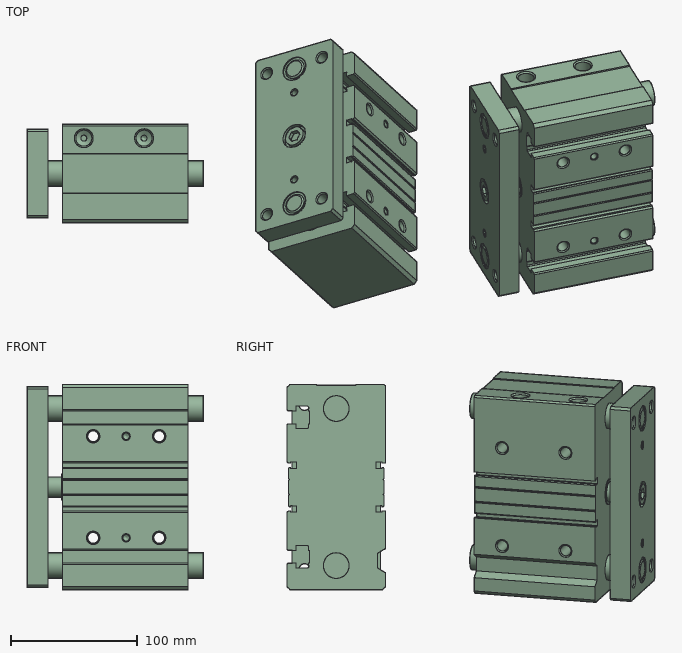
import cadquery as cq
import math


total_length = 139.0
drill_angle = 118.0

housing_start = 27.9
housing_length = 99.1
housing_end = housing_start + housing_length
housing_width = 78.0
housing_height = 162.0
half_width = housing_width / 2
half_height = housing_height / 2
edge_chamfer = 2.6
port_edge_chamfer = 1.5
collar_length = 0.6

plate_thickness = 16.5
plate_width = 70.0
plate_height = 158.1
plate_chamfer = 2.0
plate_hole_y = 25.0
plate_hole_z = 64.8

guide_rod_diameter = 20.2
guide_rod_z = 61.9
guide_tip_base_diameter = 16.5
guide_tip_diameter = 13.8
guide_tip_length = 1.0
piston_rod_diameter = 16.2
piston_rod_end = 81.0
piston_recess_diameter = guide_rod_diameter
piston_recess_depth = 3.2
hex_across_flats = 8.5
hex_depth = 3.5

bolt_hole_diameter = 8.6
bolt_hole_chamfer = 1.0
dowel_diameter = 5.2
dowel_chamfer = 0.6
dowel_depth = 8.1
dowel_z = 40.0
dowel_x = 78.1
bolt_hole_spacing = 52.0

port_diameter = 12.6
port_chamfer = 1.1
port_depth = 13.0
port_y = 27.9
port_x = [44.7, 92.2]
passage_diameter = 4.7
passage_depth = 4.9

top_recess_width = 31.8
top_recess_depth = 0.6

tslot_z = 54.9
tslot_mouth = 10.2
tslot_flare = 1.0
tslot_lip = 7.3
tslot_depth = 17.2
tslot_width = 17.7
tslot_corner = 0.8
tslot_floor_groove = 0.8

sensor_z = 17.2
sensor_mouth = 3.2
sensor_channel_width = 4.9
sensor_lip = 2.9
sensor_depth = 7.5
strip_inset = 1.3
strip_edge_chamfer = 0.8
rib_groove_z = 6.0
rib_groove_width = 1.3
rib_groove_depth = 0.6

taper_slot_z = -58.0
taper_slot_mouth = 19.1
taper_slot_depth = 6.5
taper_slot_slope = 0.6


def bar(points):
    """Extrude a (Y, Z) outline over the length of the housing."""
    return cq.Workplane("YZ", origin=(housing_start, 0, 0)).polyline(points).close().extrude(housing_length)


def rod(diameter, start, end, y=0.0, z=0.0):
    """Round bar along X."""
    return cq.Workplane("YZ", origin=(start, y, z)).circle(diameter / 2).extrude(end - start)


def side_bar(side, outline, z=0.0):
    """Extrude a (depth, Z) outline, with depth measured inward from the side face."""
    return bar([(side * (half_width - depth), z + height) for depth, height in outline])


def drill_point(diameter):
    return diameter / 2 / math.tan(math.radians(drill_angle / 2))


def blind_hole(position, inward, diameter, depth, pointed):
    """Plain round hole from position along the inward direction, with an optional drill point."""
    radius = diameter / 2
    start = cq.Vector(*position)
    axis = cq.Vector(*inward)
    cutter = cq.Workplane(cq.Solid.makeCylinder(radius, depth, start, axis))
    if pointed:
        tip = cq.Solid.makeCone(radius, 0, drill_point(diameter), start + axis * depth, axis)
        cutter = cutter.union(cq.Workplane(tip))
    return cutter


def hole_cutter(position, inward, diameter, chamfer, depth, pointed):
    """Hole with a 45 degree chamfer at its mouth."""
    radius = diameter / 2
    mouth = cq.Solid.makeCone(radius + chamfer, radius, chamfer, cq.Vector(*position), cq.Vector(*inward))
    return blind_hole(position, inward, diameter, depth, pointed).union(cq.Workplane(mouth))


def housing_blank():
    outline = [
        (-half_width, -half_height + edge_chamfer),
        (-half_width + edge_chamfer, -half_height),
        (half_width - edge_chamfer, -half_height),
        (half_width, -half_height + edge_chamfer),
        (half_width, half_height - port_edge_chamfer),
        (half_width - port_edge_chamfer, half_height),
        (-half_width + edge_chamfer, half_height),
        (-half_width, half_height - edge_chamfer),
    ]
    collar = rod(guide_rod_diameter, housing_start - collar_length, housing_start)
    return bar(outline).union(collar)


def top_recess():
    outer = top_recess_width / 2
    inner = outer - top_recess_depth
    floor = half_height - top_recess_depth
    return bar([(-outer, half_height), (-inner, floor), (inner, floor), (outer, half_height)])


def t_slot(z):
    mouth = tslot_mouth / 2
    inner = tslot_width / 2
    flat = inner - tslot_corner
    upper_half = [
        (0, mouth + tslot_flare),
        (tslot_flare, mouth),
        (tslot_lip, mouth),
        (tslot_lip, inner),
        (tslot_depth - tslot_corner, inner),
        (tslot_depth, flat),
        (tslot_depth, mouth),
        (tslot_depth + tslot_floor_groove, mouth),
    ]
    lower_half = [(depth, -height) for depth, height in reversed(upper_half)]
    return side_bar(-1, upper_half + lower_half, z)


def sensor_strip(side, flare):
    """Sunken strip with edge flares, two undercut sensor grooves and two rib grooves."""
    edge = sensor_z + sensor_mouth / 2
    outline = [(0, edge + flare), (strip_inset, edge), (strip_inset, -edge), (0, -edge - flare)]
    cutter = side_bar(side, outline)
    rib_floor = strip_inset + rib_groove_depth
    rib_outline = [
        (strip_inset, rib_groove_width / 2),
        (rib_floor, 0),
        (strip_inset, -rib_groove_width / 2),
    ]
    slot_half = sensor_mouth / 2
    channel_half = sensor_channel_width / 2
    for end in (-1, 1):
        groove_z = end * sensor_z
        groove = [
            (strip_inset, end * slot_half),
            (sensor_lip, end * slot_half),
            (sensor_lip, end * channel_half),
            (sensor_depth, end * channel_half),
            (sensor_depth, -end * channel_half),
            (sensor_lip, -end * channel_half),
            (sensor_lip, -end * slot_half),
            (strip_inset + strip_edge_chamfer, -end * slot_half),
            (strip_inset, -end * (slot_half + strip_edge_chamfer)),
        ]
        cutter = cutter.union(side_bar(side, groove, groove_z))
        cutter = cutter.union(side_bar(side, rib_outline, end * rib_groove_z))
    return cutter


def taper_slot():
    mouth = taper_slot_mouth / 2
    floor = mouth - taper_slot_depth * taper_slot_slope
    outline = [(0, mouth), (taper_slot_depth, floor), (taper_slot_depth, -floor), (0, -mouth)]
    return side_bar(1, outline, taper_slot_z)


def cross_holes(z):
    """Two through bolt holes and a blind dowel hole on the -Y face."""
    dowel_start = (dowel_x, -half_width, z)
    cutter = hole_cutter(dowel_start, (0, 1, 0), dowel_diameter, dowel_chamfer, dowel_depth, True)
    for end in (-1, 1):
        bolt_x = dowel_x + end * bolt_hole_spacing / 2
        for side in (-1, 1):
            bolt_start = (bolt_x, side * half_width, z)
            inward = (0, -side, 0)
            cutter = cutter.union(
                hole_cutter(bolt_start, inward, bolt_hole_diameter, bolt_hole_chamfer, half_width, False)
            )
    return cutter


def air_port(x, passage_pointed):
    port = hole_cutter((x, port_y, half_height), (0, 0, -1), port_diameter, port_chamfer, port_depth, True)
    passage_start = (x, port_y, half_height - port_depth)
    passage = blind_hole(passage_start, (0, 0, -1), passage_diameter, passage_depth, passage_pointed)
    return port.union(passage)


def make_housing():
    body = housing_blank().cut(top_recess()).cut(taper_slot())
    body = body.cut(sensor_strip(-1, strip_inset)).cut(sensor_strip(1, 0))
    for end in (-1, 1):
        body = body.cut(t_slot(end * tslot_z))
        body = body.cut(rod(guide_rod_diameter, housing_start, housing_end, 0, end * guide_rod_z))
        body = body.cut(cross_holes(end * dowel_z))
    body = body.cut(air_port(port_x[0], False)).cut(air_port(port_x[1], True))
    return body.cut(rod(piston_rod_diameter, housing_start - collar_length, piston_rod_end))


def make_plate():
    body = (
        cq.Workplane("YZ")
        .rect(plate_width, plate_height)
        .extrude(plate_thickness)
        .edges("|X")
        .chamfer(plate_chamfer)
    )
    body = body.cut(rod(piston_rod_diameter, 0, plate_thickness))
    body = body.cut(rod(piston_recess_diameter, 0, piston_recess_depth))
    for end in (-1, 1):
        body = body.cut(rod(guide_rod_diameter, 0, plate_thickness, 0, end * guide_rod_z))
        dowel_start = (0, 0, end * dowel_z)
        body = body.cut(hole_cutter(dowel_start, (1, 0, 0), dowel_diameter, dowel_chamfer, dowel_depth, True))
        for side in (-1, 1):
            bolt_start = (0, side * plate_hole_y, end * plate_hole_z)
            body = body.cut(
                hole_cutter(
                    bolt_start, (1, 0, 0), bolt_hole_diameter, bolt_hole_chamfer, plate_thickness, False
                )
            )
    return body


def make_guide_rod(z):
    """Round rod that ends in a tapered tip inside the plate."""
    tip = cq.Solid.makeCone(
        guide_tip_diameter / 2,
        guide_tip_base_diameter / 2,
        guide_tip_length,
        cq.Vector(0, 0, z),
        cq.Vector(1, 0, 0),
    )
    return rod(guide_rod_diameter, guide_tip_length, total_length, 0, z).union(cq.Workplane(tip))


def make_piston_rod():
    hex_corner_diameter = hex_across_flats / math.cos(math.pi / 6)
    socket = cq.Workplane("YZ").polygon(6, hex_corner_diameter)
    return rod(piston_rod_diameter, 0, piston_rod_end).cut(socket.extrude(hex_depth))


housing = make_housing()
plate = make_plate()
guide_rods = [make_guide_rod(end * guide_rod_z) for end in (-1, 1)]
piston_rod = make_piston_rod()

result = cq.Compound.makeCompound(
    [housing.val(), plate.val(), *[guide_rod.val() for guide_rod in guide_rods], piston_rod.val()]
)